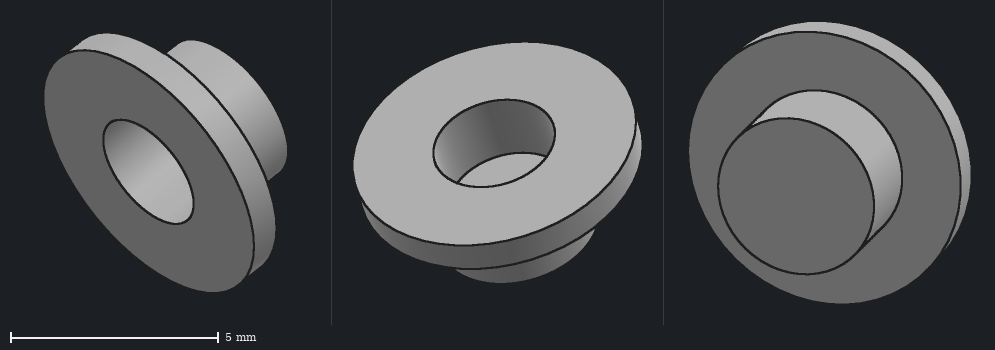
import cadquery as cq

flange_diameter = 7.0
flange_thickness = 0.8
boss_diameter = 4.0
boss_length = 2.0
bore_diameter = 3.0
end_wall = 1.0

total_length = flange_thickness + boss_length
bore_depth = total_length - end_wall


def cylinder_along_y(diameter, length):
    """Cylinder on the Y axis, from the flange face at Y = 0 toward +Y."""
    return cq.Workplane("XZ").circle(diameter / 2).extrude(-length)


flange = cylinder_along_y(flange_diameter, flange_thickness)
boss = cylinder_along_y(boss_diameter, total_length)

bore = cylinder_along_y(bore_diameter, bore_depth)

result = flange.union(boss).cut(bore)